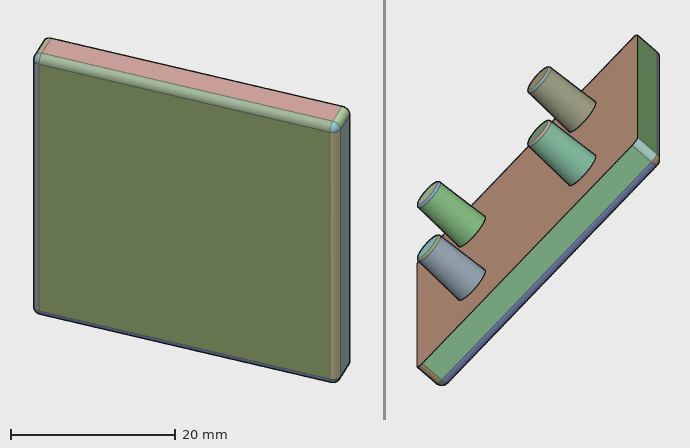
import cadquery as cq

side = 40.0
plate_thickness = 4.2
total_depth = 11.5
edge_radius = 1.0

pin_spacing = side / 2
pin_base_diameter = 4.9
pin_tip_diameter = 4.1
pin_tip_fillet = 0.3
pin_length = total_depth - plate_thickness


def make_plate():
    """Square plate with rounded corners and a rounded front rim."""
    block = cq.Workplane("XY").box(side, plate_thickness, side, centered=(True, False, True))
    return block.edges("|Y or <Y").fillet(edge_radius)


def make_pin(x, z):
    """Round pin narrowing from the plate to its rounded tip."""
    pin = cq.Solid.makeCone(
        pin_base_diameter / 2,
        pin_tip_diameter / 2,
        pin_length,
        pnt=cq.Vector(x, plate_thickness, z),
        dir=cq.Vector(0, 1, 0),
    )
    return cq.Workplane(pin).faces(">Y").edges().fillet(pin_tip_fillet)


result = make_plate()
for x in (-pin_spacing / 2, pin_spacing / 2):
    for z in (-pin_spacing / 2, pin_spacing / 2):
        result = result.union(make_pin(x, z))